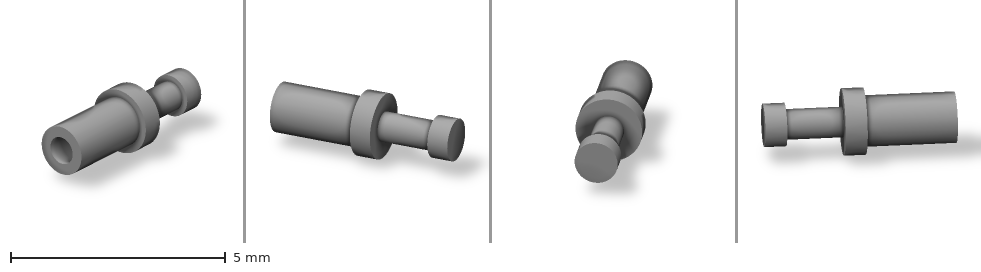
import cadquery as cq
import math

total_length = 4.5
barrel_diameter = 1.2
barrel_length = 2.135
flange_diameter = 1.575
collar_thickness = 0.515
neck_diameter = 0.715
head_diameter = 1.015

hole_diameter = 0.67
hole_depth = barrel_length
drill_point_angle = 118.0

neck_length = total_length - barrel_length - 2 * collar_thickness


def make_pin():
    """Stack the coaxial cylinders from the barrel end to the head."""
    sections = [
        (barrel_diameter, barrel_length),
        (flange_diameter, collar_thickness),
        (neck_diameter, neck_length),
        (head_diameter, collar_thickness),
    ]
    pin = cq.Workplane("XY")
    start = 0
    for diameter, length in sections:
        cylinder = cq.Workplane("XZ", origin=(0, start, 0)).circle(diameter / 2).extrude(-length)
        pin = pin.union(cylinder)
        start += length
    return pin


def make_drilled_hole():
    """Revolve the drill's half profile about the Y axis."""
    radius = hole_diameter / 2
    tip_length = radius / math.tan(math.radians(drill_point_angle / 2))
    return (
        cq.Workplane("XY")
        .moveTo(0, 0)
        .lineTo(radius, 0)
        .lineTo(radius, hole_depth)
        .lineTo(0, hole_depth + tip_length)
        .close()
        .revolve(360, (0, 0), (0, 1))
    )


result = make_pin().cut(make_drilled_hole())